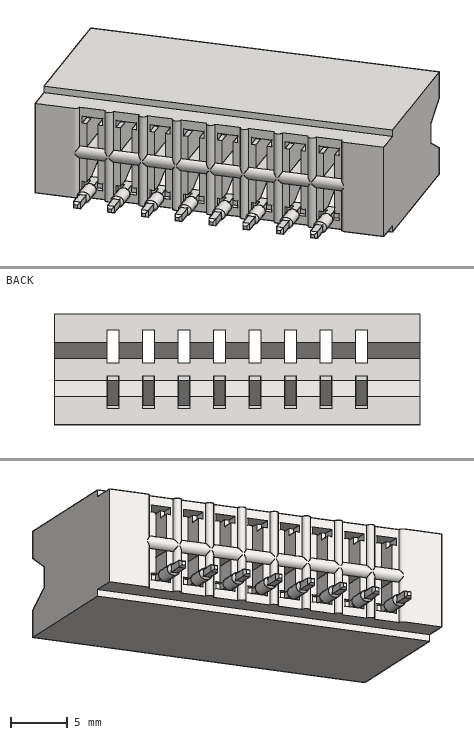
import cadquery as cq


length = 32.65
height = 9.92
depth = 16.4
nose_height = 8.68
nose_depth = 2.58

guide_depth = 2.4
guide_mouth = 4.83
guide_floor = 1.95

cell_count = 8
pitch = 3.15
row_length = cell_count * pitch
cell_depth = 0.4
divider_width = 0.78
crossbar_height = 1.18

slot_width = 1.05
slot_inner_z = crossbar_height / 2
seat_height = 0.65
seat_z = 3.15
slot_outer_z = seat_z + seat_height / 2
seat_width = 1.9
seat_depth = 1.3
seat_floor_y = cell_depth + seat_depth

pin_reach = 4.45
pin_width = 0.65
tip_length = 0.35
tip_width = 0.33
barrel_start = 0.1
barrel_end = 2.5
barrel_width = 1.2
barrel_height = 1.08
side_clearance = 0.015
shoulder_length = 0.8
shoulder_width = seat_width - 2 * side_clearance
blade_width = slot_width - 2 * side_clearance
blade_thickness = 0.4
blade_rise_run = 5.55
blade_end_y = seat_floor_y + blade_rise_run


def box_between(x_range, y_range, z_range):
    size = [high - low for low, high in (x_range, y_range, z_range)]
    corner = (x_range[0], y_range[0], z_range[0])
    return cq.Workplane("XY").box(*size, centered=False).translate(corner)


def extrude_along_x(outline, width):
    """Solid of a (Y, Z) outline, centred on X = 0."""
    return cq.Workplane("YZ").polyline(outline).close().extrude(width / 2, both=True)


def centred(size, middle=0):
    return (middle - size / 2, middle + size / 2)


cell_centres = [(i - (cell_count - 1) / 2) * pitch for i in range(cell_count)]
divider_places = [(i - cell_count / 2) * pitch for i in range(cell_count + 1)]


def make_block():
    """Stepped block with the card guide running through its whole length."""
    top = height / 2
    nose_top = nose_height / 2
    guide_y = depth - guide_depth
    outline = [
        (0, -nose_top),
        (nose_depth, -nose_top),
        (nose_depth, -top),
        (depth, -top),
        (depth, -guide_mouth / 2),
        (guide_y, -guide_floor / 2),
        (guide_y, guide_floor / 2),
        (depth, guide_mouth / 2),
        (depth, top),
        (nose_depth, top),
        (nose_depth, nose_top),
        (0, nose_top),
    ]
    return extrude_along_x(outline, length)


def round_bar(width, bar_length):
    """Upright bar whose arc-shaped crest rises from the cell floor to Y = 0."""
    half = width / 2
    outline = cq.Workplane("XY").moveTo(-half, cell_depth)
    outline = outline.threePointArc((0, 0), (half, cell_depth)).close()
    return outline.extrude(bar_length / 2, both=True)


def make_cell_row():
    """Material to remove for the row of cells: a shallow recess less its rounded bars."""
    recess = box_between(centred(row_length), (0, cell_depth), centred(nose_height))
    crossbar = round_bar(crossbar_height, row_length).rotate((0, 0, 0), (0, 1, 0), 90)
    recess = recess.cut(crossbar)
    for x in divider_places:
        recess = recess.cut(round_bar(divider_width, nose_height).translate((x, 0, 0)))
    return recess


def make_slot(x):
    """Upper slot of a cell: a passage through the housing with a wider seat at its front."""
    passage = box_between(centred(slot_width, x), (0, depth), (slot_inner_z, slot_outer_z))
    seat = box_between(centred(seat_width, x), (0, seat_floor_y), centred(seat_height, seat_z))
    return passage.union(seat)


def make_housing():
    housing = make_block().cut(make_cell_row())
    for x in cell_centres:
        slot = make_slot(x)
        housing = housing.cut(slot).cut(slot.mirror("XY"))
    return housing


def make_pin():
    """Square pin with a tapered tip, pointing to -Y from the shoulder."""
    shank_end = pin_reach - tip_length
    front_of_shoulder = seat_floor_y - shoulder_length
    shank = (
        cq.Workplane("XZ", origin=(0, front_of_shoulder, 0))
        .rect(pin_width, pin_width)
        .extrude(front_of_shoulder + shank_end)
    )
    tip = (
        cq.Workplane("XZ", origin=(0, -shank_end, 0))
        .rect(pin_width, pin_width)
        .workplane(offset=tip_length)
        .rect(tip_width, tip_width)
        .loft(combine=True)
    )
    return shank.union(tip)


def make_barrel():
    """Oval press-fit barrel, its ends trimmed by 45-degree cones that run out at the pin."""
    oval = (
        cq.Workplane("XZ", origin=(0, -barrel_start, 0))
        .ellipse(barrel_width / 2, barrel_height / 2)
        .extrude(barrel_end - barrel_start)
    )
    inner_radius = pin_width / 2
    outer_radius = barrel_width / 2
    cone_length = outer_radius - inner_radius
    outline = [
        (0, -barrel_start),
        (inner_radius, -barrel_start),
        (outer_radius, -barrel_start - cone_length),
        (outer_radius, -barrel_end + cone_length),
        (inner_radius, -barrel_end),
        (0, -barrel_end),
    ]
    envelope = cq.Workplane("XY").polyline(outline).close().revolve(360, (0, 0, 0), (0, 1, 0))
    return oval.intersect(envelope)


def make_blade():
    """Spring blade rising from the shoulder to the underside of the housing's middle web."""
    start_top = seat_height / 2
    end_top = seat_z - slot_inner_z
    outline = [
        (seat_floor_y, start_top),
        (blade_end_y, end_top),
        (blade_end_y, end_top - blade_thickness),
        (seat_floor_y, start_top - blade_thickness),
    ]
    return extrude_along_x(outline, blade_width)


def make_contact(x):
    """One contact: pin, barrel, shoulder in the seat and spring blade in the lower slot."""
    shoulder_y = (seat_floor_y - shoulder_length, seat_floor_y)
    shoulder = box_between(centred(shoulder_width), shoulder_y, centred(seat_height))
    contact = shoulder.union(make_pin()).union(make_barrel()).union(make_blade())
    return contact.translate((x, 0, -seat_z))


housing = make_housing()
contacts = [make_contact(x) for x in cell_centres]

result = cq.Compound.makeCompound([housing.val(), *[contact.val() for contact in contacts]])